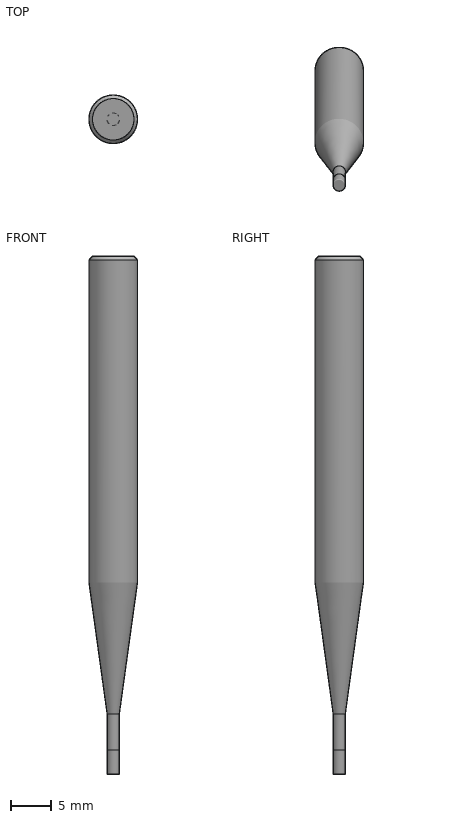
import cadquery as cq

total_length = 64.0
shank_radius = 3.0
shank_chamfer = 0.45
tip_radius = 0.8
tip_corner_radius = 0.1

cutter_top = 3.0
neck_top = 7.5
taper_top = 23.7


def make_shank():
    """Cylindrical shank with a chamfered upper end and a taper down to the neck."""
    profile = (
        cq.Workplane("XZ")
        .moveTo(0, neck_top)
        .lineTo(tip_radius, neck_top)
        .lineTo(shank_radius, taper_top)
        .lineTo(shank_radius, total_length)
        .lineTo(0, total_length)
        .close()
    )
    shank = profile.revolve(360, (0, 0, 0), (0, 1, 0))
    return shank.faces(">Z").edges().chamfer(shank_chamfer)


def make_neck():
    """Plain cylinder between the taper and the cutter."""
    neck = cq.Workplane("XY").workplane(offset=cutter_top)
    return neck.circle(tip_radius).extrude(neck_top - cutter_top)


def make_cutter():
    """Cutting end with a small rounded corner around its tip."""
    cutter = cq.Workplane("XY").circle(tip_radius).extrude(cutter_top)
    return cutter.faces("<Z").edges().fillet(tip_corner_radius)


shank = make_shank()
neck = make_neck()
cutter = make_cutter()

result = cq.Compound.makeCompound([shank.val(), neck.val(), cutter.val()])